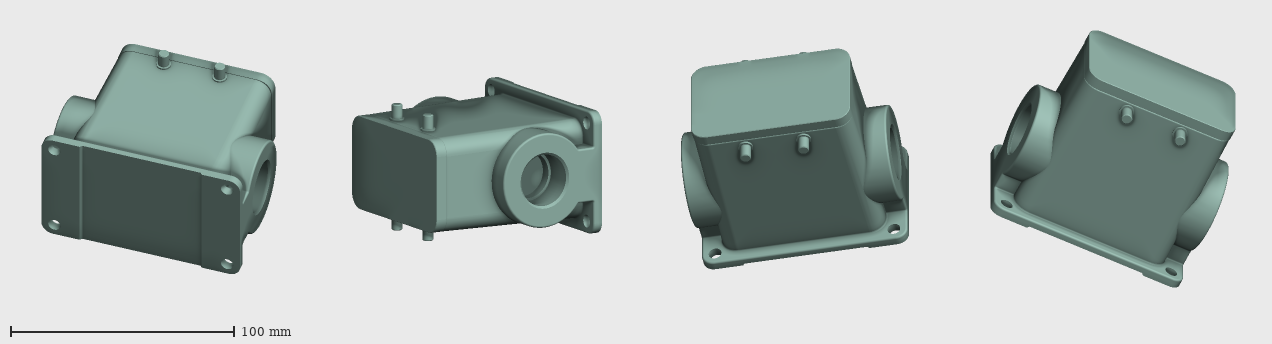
import cadquery as cq
import math

flange_length = 94.0
flange_width = 56.0
flange_thickness = 4.3
flange_corner_radius = 5.4
recess_length = 57.9
recess_depth = 1.0

hole_diameter = 5.8
hole_spacing_x = 81.8
hole_spacing_z = 44.9

body_end = 75.2
body_base_length = 75.0
body_base_width = 45.5
body_draft = 1.0
body_corner_radius = 7.5
shoulder_round = 0.7
pad_border = 1.3

rim_end = 80.4
rim_length = 72.85
rim_width = 42.8
rim_corner_radius = 7.0
rim_chamfer = 0.3

entry_height = 30.0
entry_radius = 21.6
web_width = 24.6
entry_root = 23.5
thread_diameter = 23.5
thread_depth = 14.0
thread_chamfer = 1.0
pilot_diameter = 21.0
pilot_depth = 18.8

pin_spacing = 26.5
pin_height = 70.8
pin_diameter = 5.0
pin_span = 57.5
pin_chamfer = 0.4
collar_diameter = 6.7
collar_span = 44.8

outer_round = 0.9
root_fillet = 0.7

flange_end = flange_length / 2

half_web = web_width / 2
web_end = entry_height - math.sqrt(entry_radius**2 - half_web**2)

margin = 0.1


def upright(height):
    """Workplane at the given Y, facing +Y."""
    return cq.Workplane(cq.Plane(origin=(0, height, 0), xDir=(1, 0, 0), normal=(0, 1, 0)))


def make_flange():
    return (
        upright(0)
        .rect(flange_length, flange_width)
        .extrude(flange_thickness)
        .edges("|Y")
        .fillet(flange_corner_radius)
    )


def make_body():
    """Tapered body with a rounded shoulder and a filleted foot on a pad inside the flange."""
    body = (
        upright(flange_thickness)
        .rect(body_base_length, body_base_width)
        .extrude(body_end - flange_thickness, taper=body_draft)
        .edges("not(#Y)")
        .fillet(body_corner_radius)
        .faces(">Y")
        .edges()
        .fillet(shoulder_round)
    )
    pad = (
        upright(recess_depth)
        .rect(body_base_length + 2 * pad_border, body_base_width + 2 * pad_border)
        .extrude(flange_thickness - recess_depth)
    )
    foot_x = body_base_length / 2 + margin
    foot_z = body_base_width / 2 + margin
    foot = cq.selectors.BoxSelector(
        (-foot_x, flange_thickness - margin, -foot_z),
        (foot_x, flange_thickness + margin, foot_z),
    )
    return pad.union(body).edges(foot).fillet(root_fillet)


def make_rim():
    return (
        upright(body_end)
        .rect(rim_length, rim_width)
        .extrude(rim_end - body_end)
        .edges("|Y")
        .fillet(rim_corner_radius)
        .faces(">Y")
        .chamfer(rim_chamfer)
    )


def make_entry(side):
    """Round boss and web, from inside the body out to the flange end."""
    return (
        cq.Workplane("YZ", origin=(side * entry_root, 0, 0))
        .moveTo(recess_depth, -half_web)
        .lineTo(web_end, -half_web)
        .threePointArc((entry_height + entry_radius, 0), (web_end, half_web))
        .lineTo(recess_depth, half_web)
        .close()
        .extrude(side * (flange_end - entry_root))
    )


def make_bore(side):
    """Chamfered entry hole with a narrower blind hole behind it."""
    thread_radius = thread_diameter / 2
    pilot_radius = pilot_diameter / 2
    mouth_radius = thread_radius + thread_chamfer
    return (
        cq.Workplane("XY")
        .moveTo(side * flange_end, entry_height)
        .lineTo(side * flange_end, entry_height + mouth_radius)
        .lineTo(side * (flange_end - thread_chamfer), entry_height + thread_radius)
        .lineTo(side * (flange_end - thread_depth), entry_height + thread_radius)
        .lineTo(side * (flange_end - thread_depth), entry_height + pilot_radius)
        .lineTo(side * (flange_end - pilot_depth), entry_height + pilot_radius)
        .lineTo(side * (flange_end - pilot_depth), entry_height)
        .close()
        .revolve(360, (0, entry_height, 0), (1, entry_height, 0))
    )


def make_pins():
    """Pins and collars running through the body from one broad side to the other."""
    places = [(-pin_spacing / 2, pin_height), (pin_spacing / 2, pin_height)]
    pins = (
        cq.Workplane("XY")
        .pushPoints(places)
        .circle(pin_diameter / 2)
        .extrude(pin_span / 2, both=True)
        .faces("<Z or >Z")
        .chamfer(pin_chamfer)
    )
    collars = (
        cq.Workplane("XY")
        .pushPoints(places)
        .circle(collar_diameter / 2)
        .extrude(collar_span / 2, both=True)
    )
    return pins.union(collars)


def make_recess():
    """Shallow channel across the mounting face, with 45 degree sides."""
    half_length = recess_length / 2
    return (
        cq.Workplane("XY")
        .polyline(
            [
                (-half_length, 0),
                (half_length, 0),
                (half_length - recess_depth, recess_depth),
                (recess_depth - half_length, recess_depth),
            ]
        )
        .close()
        .extrude(flange_width, both=True)
    )


def make_screw_holes():
    return (
        upright(0)
        .rect(hole_spacing_x, hole_spacing_z, forConstruction=True)
        .vertices()
        .circle(hole_diameter / 2)
        .extrude(flange_thickness)
    )


base = make_flange()
for side in (-1, 1):
    base = base.union(make_entry(side))
web_corners = cq.selectors.BoxSelector(
    (-flange_length, flange_thickness - root_fillet, -half_web - root_fillet),
    (flange_length, web_end + root_fillet, half_web + root_fillet),
)
base = base.edges("|X").edges(web_corners).fillet(root_fillet)

flange_top_edge = cq.selectors.NearestToPointSelector((0, flange_thickness, flange_width / 2))
base = base.edges(flange_top_edge).fillet(outer_round)

result = base.union(make_body()).union(make_rim()).union(make_pins())
for side in (-1, 1):
    result = result.cut(make_bore(side))
result = result.cut(make_recess()).cut(make_screw_holes())